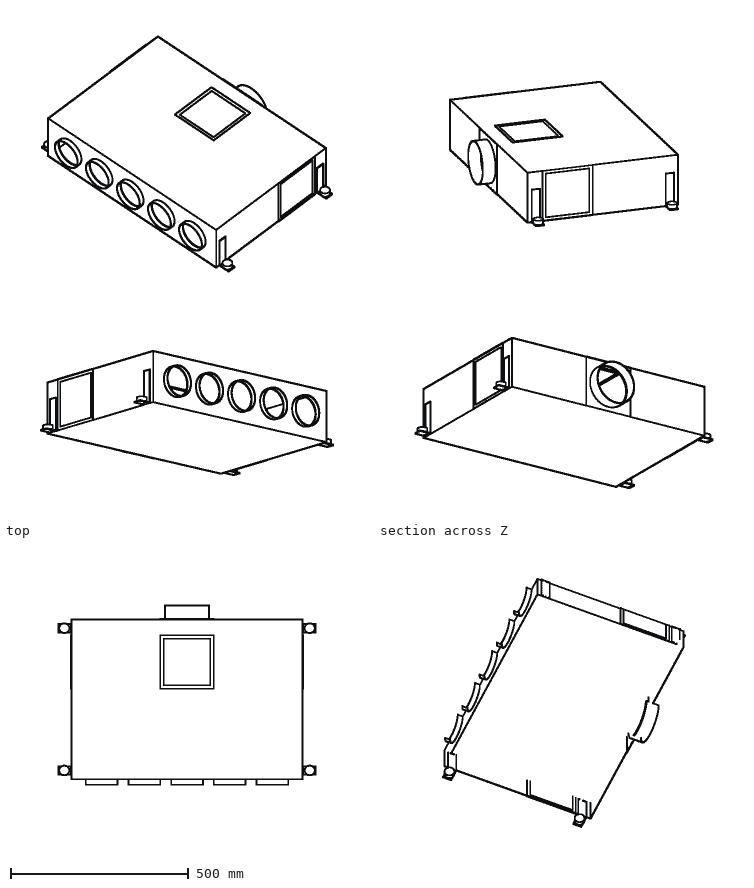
import cadquery as cq

BODY_WIDTH = 650.0
BODY_DEPTH = 450.5
BODY_HEIGHT = 150.0
SHEET = 1.0

SIDE_X = BODY_WIDTH / 2
BACK_Y = BODY_DEPTH / 2
FRONT_Y = -BACK_Y
MID_HEIGHT = BODY_HEIGHT / 2

PLATE_SIZE = BODY_HEIGHT
PLATE_THICKNESS = 1.5
PLATE_CENTER_Y = 105.0
OPENING_SIZE = 130.5

SPIGOT_WALL = 2.0
OUTLET_DIAMETER = 90.0
OUTLET_LENGTH = 15.0
OUTLET_PITCH = 120.0
OUTLET_COUNT = 5
INLET_DIAMETER = 125.0
INLET_LENGTH = 37.2

FOOT_REACH = 36.5
FOOT_WIDTH = 25.0
FOOT_LEG_HEIGHT = 98.0
FOOT_THICKNESS = 2.5
FOOT_OFFSET_Y = 200.0
PAD_DIAMETER = 28.0
PAD_TOP = 15.0
PAD_CENTER_REACH = 20.0


def cylinder_along_y(diameter, x, y_start, y_end):
    """Cylinder parallel to Y at mid height."""
    start = cq.Workplane("XZ", origin=(x, y_start, MID_HEIGHT))
    return start.circle(diameter / 2).extrude(y_start - y_end)


def make_housing():
    """Closed box with a hollow inside."""
    outer = cq.Workplane("XY").box(BODY_WIDTH, BODY_DEPTH, BODY_HEIGHT)
    cavity = cq.Workplane("XY").box(BODY_WIDTH - 2 * SHEET, BODY_DEPTH - 2 * SHEET, BODY_HEIGHT - 2 * SHEET)
    return outer.cut(cavity).translate((0, 0, MID_HEIGHT))


def square_on_top(size, z_start, z_end):
    """Square slab centred under the top cover plate."""
    slab = cq.Workplane("XY", origin=(0, PLATE_CENTER_Y, z_start))
    return slab.rect(size, size).extrude(z_end - z_start)


def square_on_side(size, side, x_start, x_end):
    """Square slab centred on a side cover plate; side is +1 or -1, x runs outward from the middle."""
    slab = cq.Workplane("YZ", origin=(side * x_start, PLATE_CENTER_Y, MID_HEIGHT))
    return slab.rect(size, size).extrude(side * (x_end - x_start))


def add_cover_plates(part):
    """Square openings in the top and side walls, each closed by a larger plate outside."""
    part = part.cut(square_on_top(OPENING_SIZE, BODY_HEIGHT - SHEET, BODY_HEIGHT))
    part = part.union(square_on_top(PLATE_SIZE, BODY_HEIGHT, BODY_HEIGHT + PLATE_THICKNESS))
    for side in (-1, 1):
        part = part.cut(square_on_side(OPENING_SIZE, side, SIDE_X - SHEET, SIDE_X))
        part = part.union(square_on_side(PLATE_SIZE, side, SIDE_X, SIDE_X + PLATE_THICKNESS))
    return part


def add_outlets(part):
    """Row of open outlet spigots through the front wall."""
    tip_y = FRONT_Y - OUTLET_LENGTH
    bore = OUTLET_DIAMETER - 2 * SPIGOT_WALL
    for index in range(OUTLET_COUNT):
        x = (index - (OUTLET_COUNT - 1) / 2) * OUTLET_PITCH
        part = part.union(cylinder_along_y(OUTLET_DIAMETER, x, tip_y, FRONT_Y))
        part = part.cut(cylinder_along_y(bore, x, tip_y, FRONT_Y + SHEET))
    return part


def add_inlet(part):
    """Back plate with the open inlet spigot through it."""
    plate_y = BACK_Y + PLATE_THICKNESS
    tip_y = plate_y + INLET_LENGTH
    bore = INLET_DIAMETER - 2 * SPIGOT_WALL
    plate = cq.Workplane("XY").box(PLATE_SIZE, PLATE_THICKNESS, PLATE_SIZE)
    part = part.union(plate.translate((0, BACK_Y + PLATE_THICKNESS / 2, MID_HEIGHT)))
    part = part.union(cylinder_along_y(INLET_DIAMETER, 0, plate_y, tip_y))
    return part.cut(cylinder_along_y(bore, 0, BACK_Y - SHEET, tip_y))


def make_foot():
    """Foot for the +X side: an L profile in XZ centred on Y = 0, with its pad."""
    strap = (
        cq.Workplane("XZ")
        .moveTo(SIDE_X, 0)
        .lineTo(SIDE_X + FOOT_REACH, 0)
        .lineTo(SIDE_X + FOOT_REACH, FOOT_THICKNESS)
        .lineTo(SIDE_X + FOOT_THICKNESS, FOOT_THICKNESS)
        .lineTo(SIDE_X + FOOT_THICKNESS, FOOT_LEG_HEIGHT)
        .lineTo(SIDE_X, FOOT_LEG_HEIGHT)
        .close()
        .extrude(FOOT_WIDTH / 2, both=True)
    )
    pad = (
        cq.Workplane("XY", origin=(SIDE_X + PAD_CENTER_REACH, 0, FOOT_THICKNESS))
        .circle(PAD_DIAMETER / 2)
        .extrude(PAD_TOP - FOOT_THICKNESS)
    )
    return strap.union(pad)


def add_feet(part):
    """Four feet, two on each side."""
    right_foot = make_foot()
    left_foot = right_foot.mirror("YZ")
    for y in (-FOOT_OFFSET_Y, FOOT_OFFSET_Y):
        part = part.union(right_foot.translate((0, y, 0)))
        part = part.union(left_foot.translate((0, y, 0)))
    return part


housing = add_cover_plates(make_housing())
result = add_feet(add_inlet(add_outlets(housing)))